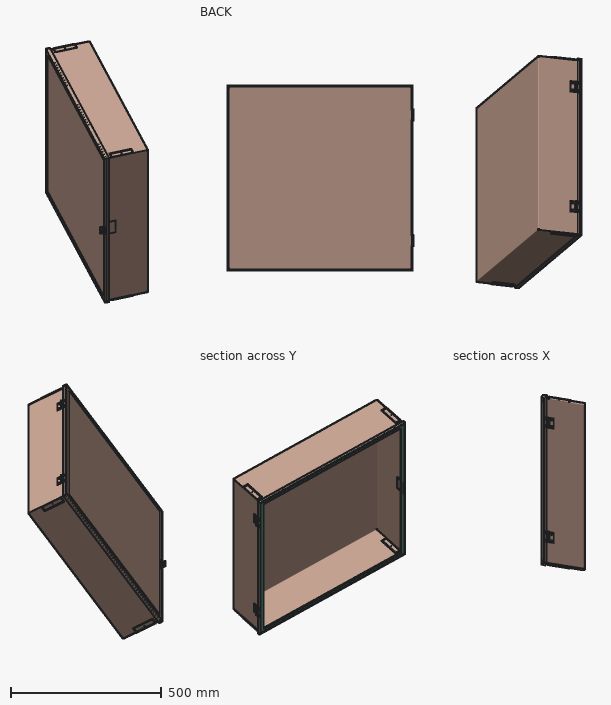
import cadquery as cq


sheet = 1.45
bend_radius = 3.04

box_size = 609.6
box_back = 154.3
box_lip_width = 14.0
corner_relief = 4.3

pad_width = 21.5
pad_length = 77.0
pad_raise = 2.0
pad_wall = 2.3
pad_back_gap = 52.5
pad_vent_diameter = 0.79
pad_vent_inset = 10.0

door_size = 617.42
door_depth = 15.0

gasket_inset = 3.91
gasket_width = 14.0
gasket_thickness = 6.0

hinge_offset = 209.55
hinge_length = 37.3
leaf_thickness = 1.52
knuckle_diameter = 6.35
pin_diameter = 3.17
pin_end_length = 1.2
knuckle_overhang = 2.91
hinge_axis_y = 20.8
box_leaf_back = 39.5
leaf_hole_diameter = 6.02
leaf_hole_spacing = 25.4
box_leaf_hole_y = 33.0
door_leaf_hole_y = 9.5
door_leaf_front = 3.1
knuckle_count = 5
knuckle_gap = 0.6

staple_reach = 14.58
staple_thickness = 2.7
staple_height = 28.0
staple_back = 40.0
shoulder_height = 50.0
shoulder_middle_z = 5.0
staple_corner = 3.0
padlock_hole_diameter = 9.53
padlock_hole_y = -6.5
padlock_hole_z = -6.0
slot_width = 6.0
slot_height = 31.75

rivet_diameter = 6.71
rivet_bore = 3.66
rivet_y = -4.0
rivet_z = 7.5

box_half = box_size / 2
door_half = door_size / 2
box_front = sheet + gasket_thickness
inner_wall = box_half - sheet
staple_x = (inner_wall - staple_thickness, inner_wall)
knuckle_x = -(door_half + knuckle_overhang - knuckle_diameter / 2)


def block(x_range, y_range, z_range):
    """A rectangular block between the given limits."""
    size = [high - low for low, high in (x_range, y_range, z_range)]
    corner = (x_range[0], y_range[0], z_range[0])
    return cq.Workplane("XY").box(*size, centered=False).translate(corner)


def square_prism(size, y_start, y_end):
    """A prism of square section, centred on the Y axis."""
    half = size / 2
    return block((-half, half), (y_start, y_end), (-half, half))


def cross_hole(diameter, x_range, y, z):
    """A round bar along X, for cutting holes or building pins."""
    plane = cq.Workplane("YZ", origin=(x_range[0], y, z))
    return plane.circle(diameter / 2).extrude(x_range[1] - x_range[0])


def pad_features(x_side, z_side):
    """One raised pad, with the hollow behind it and the vent through it."""
    pad_y = (box_back - pad_back_gap - pad_length, box_back - pad_back_gap)
    pad_x = sorted((x_side * box_half, x_side * (box_half - pad_width)))
    pad_z = sorted((z_side * inner_wall, z_side * (box_half + pad_raise)))
    hollow_x = (pad_x[0] + pad_wall, pad_x[1] - pad_wall)
    hollow_y = (pad_y[0] + pad_wall, pad_y[1] - pad_wall)
    hollow_z = sorted((z_side * inner_wall, z_side * (box_half + pad_raise - sheet)))
    pad = block(pad_x, pad_y, pad_z)
    hollow = block(hollow_x, hollow_y, hollow_z)
    vent_x = x_side * (box_half - pad_vent_inset)
    vent = cq.Workplane("XY", origin=(vent_x, sum(pad_y) / 2, pad_z[0]))
    vent = vent.circle(pad_vent_diameter / 2).extrude(pad_z[1] - pad_z[0])
    return pad, hollow, vent


def corner_notch(x_side, z_side):
    """Bend relief at one back corner of the box."""
    notch_x = sorted((x_side * box_half, x_side * inner_wall))
    notch_z = sorted((z_side * box_half, z_side * (box_half - corner_relief)))
    return block(notch_x, (box_back - corner_relief, box_back), notch_z)


def make_box():
    """Open-fronted tray with an inward lip, hollow raised pads and relieved back corners."""
    tray = square_prism(box_size, box_front, box_back)
    tray = tray.faces(">Y").edges().fillet(bend_radius)
    cavity = square_prism(2 * inner_wall, box_front + sheet, box_back - sheet)
    cavity = cavity.faces(">Y").edges().fillet(bend_radius - sheet)
    mouth = square_prism(box_size - 2 * box_lip_width, box_front, box_front + sheet)
    tray = tray.cut(cavity).cut(mouth)
    for x_side in (-1, 1):
        for z_side in (-1, 1):
            pad, hollow, vent = pad_features(x_side, z_side)
            tray = tray.union(pad).cut(hollow).cut(vent)
            tray = tray.cut(corner_notch(x_side, z_side))
    return tray.cut(shoulder_block(box_front, box_front + sheet))


def shoulder_block(y_start, y_end):
    """The wide part of the staple plate between two depths."""
    half = shoulder_height / 2
    return block(staple_x, (y_start, y_end), (shoulder_middle_z - half, shoulder_middle_z + half))


def make_door():
    """Shallow pan that closes over the front of the box."""
    pan = square_prism(door_size, 0, door_depth)
    pan = pan.faces("<Y").edges().fillet(bend_radius)
    hollow = square_prism(door_size - 2 * sheet, sheet, door_depth)
    hollow = hollow.faces("<Y").edges().fillet(bend_radius - sheet)
    slot_half = slot_height / 2
    slot = block((staple_x[0], staple_x[0] + slot_width), (0, sheet), (-slot_half, slot_half))
    return pan.cut(hollow).cut(slot)


def make_gasket():
    """Square frame pressed between the door and the box lip."""
    outer = square_prism(door_size - 2 * gasket_inset, sheet, box_front)
    inner = square_prism(door_size - 2 * (gasket_inset + gasket_width), sheet, box_front)
    return outer.cut(inner).cut(shoulder_block(sheet, box_front))


def make_hinge():
    """Hinge centred at z = 0: two leaves, alternating knuckles and the pin that carries them."""
    bottom = -hinge_length / 2
    z_range = (bottom, -bottom)
    radius = knuckle_diameter / 2
    pitch = hinge_length / knuckle_count
    pin = cq.Workplane("XY", origin=(knuckle_x, hinge_axis_y, bottom - pin_end_length))
    hinge = pin.circle(pin_diameter / 2).extrude(hinge_length + pin_end_length)

    box_leaf_x = (-box_half - leaf_thickness, -box_half)
    door_leaf_x = (sheet - door_half, sheet - door_half + leaf_thickness)
    box_leaf = block(box_leaf_x, (hinge_axis_y, box_leaf_back), z_range)
    door_leaf = block(door_leaf_x, (door_leaf_front, hinge_axis_y), z_range)
    leaves = ((box_leaf, box_leaf_x, box_leaf_hole_y), (door_leaf, door_leaf_x, door_leaf_hole_y))
    for index, (leaf, leaf_x, hole_y) in enumerate(leaves):
        for hole_z in (-leaf_hole_spacing / 2, leaf_hole_spacing / 2):
            leaf = leaf.cut(cross_hole(leaf_hole_diameter, leaf_x, hole_y, hole_z))
        for number in range(knuckle_count):
            start = bottom + number * pitch
            if number % 2 == index:
                barrel = cq.Workplane("XY", origin=(knuckle_x, hinge_axis_y, start + knuckle_gap / 2))
                leaf = leaf.union(barrel.circle(radius).extrude(pitch - knuckle_gap))
            else:
                clearance_y = (hinge_axis_y - radius - knuckle_gap, hinge_axis_y + radius + knuckle_gap)
                notch = block(leaf_x, clearance_y, (start - knuckle_gap / 2, start + pitch + knuckle_gap / 2))
                leaf = leaf.cut(notch)
        hinge = hinge.union(leaf)
    return hinge


def make_staple():
    """Plate on the inside of the right wall, reaching out through the door."""
    half = staple_height / 2
    plate = block(staple_x, (-staple_reach, sheet), (-half, half))
    plate = plate.edges("|X and <Y").fillet(staple_corner)
    plate = plate.union(shoulder_block(sheet, staple_back))
    plate = plate.cut(cross_hole(padlock_hole_diameter, staple_x, padlock_hole_y, padlock_hole_z))
    return plate.cut(cross_hole(rivet_diameter, staple_x, rivet_y, rivet_z))


def make_rivet():
    """Tubular rivet filling the upper hole of the staple."""
    rivet = cross_hole(rivet_diameter, staple_x, rivet_y, rivet_z)
    return rivet.cut(cross_hole(rivet_bore, staple_x, rivet_y, rivet_z))


hinge = make_hinge()
bodies = [
    make_box(),
    make_door(),
    make_gasket(),
    hinge.translate((0, 0, hinge_offset)),
    hinge.mirror("XY").translate((0, 0, -hinge_offset)),
    make_staple(),
    make_rivet(),
]
result = cq.Compound.makeCompound([body.val() for body in bodies])